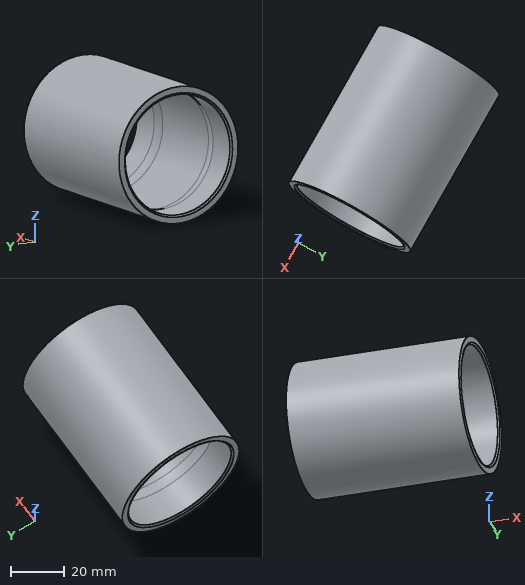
import cadquery as cq
import math

length = 68.0
outer_radius = 26.2
bore_radius = 23.0
mouth_chamfer = 0.7
bore_end = 13.0
relief_radius = 23.9
blend_radius = 12.5

mouth_radius = bore_radius + mouth_chamfer
relief_depth = relief_radius - bore_radius
blend_length = math.sqrt(2 * blend_radius * relief_depth - relief_depth**2)
relief_start = bore_end + blend_length

half_blend_angle = math.asin(blend_length / blend_radius) / 2
blend_middle = (
    relief_start - blend_radius * math.sin(half_blend_angle),
    relief_radius - blend_radius * (1 - math.cos(half_blend_angle)),
)


def mirrored(point):
    """Matching section point at the opposite end of the sleeve."""
    x, radius = point
    return (length - x, radius)


def sleeve_section():
    """Wall section, as axial position and radius, the same at both ends."""
    outer_edge = (0, outer_radius)
    mouth_edge = (0, mouth_radius)
    chamfer_edge = (mouth_chamfer, bore_radius)
    bore_edge = (bore_end, bore_radius)
    relief_edge = (relief_start, relief_radius)
    return (
        cq.Workplane("XZ")
        .moveTo(*outer_edge)
        .lineTo(*mouth_edge)
        .lineTo(*chamfer_edge)
        .lineTo(*bore_edge)
        .threePointArc(blend_middle, relief_edge)
        .lineTo(*mirrored(relief_edge))
        .threePointArc(mirrored(blend_middle), mirrored(bore_edge))
        .lineTo(*mirrored(chamfer_edge))
        .lineTo(*mirrored(mouth_edge))
        .lineTo(*mirrored(outer_edge))
        .close()
    )


axis_start = (0, 0, 0)
axis_end = (1, 0, 0)
result = sleeve_section().revolve(360, axis_start, axis_end)